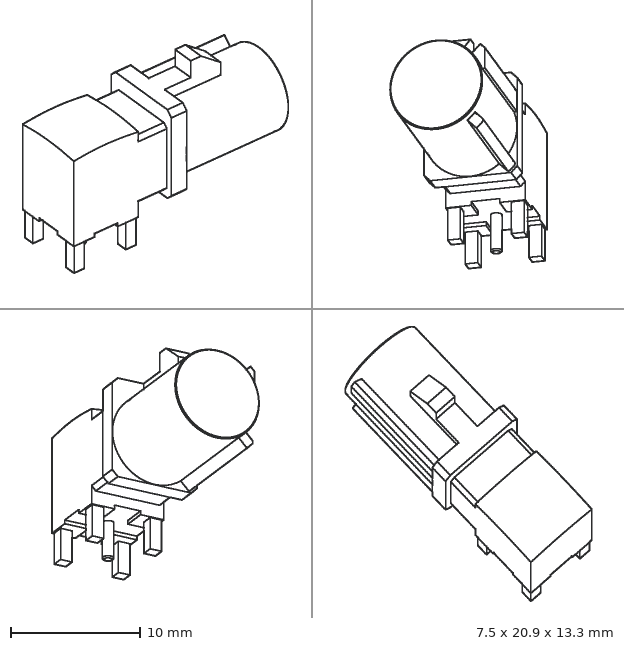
import cadquery as cq
import math


total_length = 20.88
neck_start = 6.39
flange_start = 9.2
barrel_start = 10.73
rib_end = 20.09

block_width = neck_start
block_height = 8.29
crown_slope_deg = 10.0
relief_width = 2.28
relief_depth = 0.31

leg_size = 1.02
leg_length = 2.65
leg_inset = 0.13
pin_diameter = 0.9
pin_length = 2.8
pin_chamfer = 0.13

flange_width = 7.5
flange_height = 8.37
flange_bottom = 0.58
flange_chamfer = 0.5
neck_height = 6.35
neck_chamfer = 0.38
barrel_radius = 3.72
barrel_chamfer = 0.08
axis_z = flange_bottom + flange_width / 2

latch_width = 1.96
latch_top = 10.55
latch_back = 13.32
ramp_top_y = 14.35
latch_front = 16.3
latch_front_z = 9.08

rib_reach = 4.75
upper_rib_bottom = 5.62
lower_rib_width = 0.88
lower_rib_round = 0.23


def block_along_y(width, height, y_start, y_end, z_middle):
    """Box centred on X = 0 that runs from y_start to y_end."""
    length = y_end - y_start
    return cq.Workplane("XY").box(width, length, height).translate((0, y_start + length / 2, z_middle))


def xz_profile(y_start):
    """Sketch plane with local axes X and Z on the barrel axis; extrusions by -length run toward +Y."""
    return cq.Workplane("XZ", origin=(0, y_start, axis_z))


def elbow():
    """Square block with a flat round top, drooping conical corners and a crossed underside relief."""
    middle = block_width / 2
    block = block_along_y(block_width, block_height, 0, block_width, block_height / 2)
    outer_radius = block_width
    rim_z = block_height - (outer_radius - middle) * math.tan(math.radians(crown_slope_deg))
    crown = (
        cq.Workplane("XZ")
        .polyline([(0, 0), (outer_radius, 0), (outer_radius, rim_z), (middle, block_height), (0, block_height)])
        .close()
        .revolve(360, (0, 0), (0, 1))
        .translate((0, middle, 0))
    )
    block = block.intersect(crown)
    for slot_x, slot_y in ((relief_width, block_width), (block_width, relief_width)):
        slot = cq.Workplane("XY", origin=(0, middle, 0)).rect(slot_x, slot_y).extrude(relief_depth)
        block = block.cut(slot)
    return block


def legs():
    """Four square legs below the feet of the elbow block."""
    spacing = block_width - 2 * leg_inset - leg_size
    return (
        cq.Workplane("XY", origin=(0, block_width / 2, 0))
        .rarray(spacing, spacing, 2, 2)
        .rect(leg_size, leg_size)
        .extrude(-leg_length)
    )


def pin():
    """Round contact pin from the relief down, with a chamfered tip."""
    return (
        cq.Workplane("XY", origin=(0, block_width / 2, -pin_length))
        .circle(pin_diameter / 2)
        .extrude(pin_length + relief_depth)
        .faces("<Z")
        .chamfer(pin_chamfer)
    )


def neck():
    bar = block_along_y(block_width, neck_height, neck_start, flange_start, axis_z)
    return bar.edges("|Y").chamfer(neck_chamfer)


def flange():
    flange_middle = flange_bottom + flange_height / 2
    plate = block_along_y(flange_width, flange_height, flange_start, barrel_start, flange_middle)
    return plate.edges("|Y").chamfer(flange_chamfer)


def barrel():
    cylinder = xz_profile(barrel_start).circle(barrel_radius).extrude(barrel_start - total_length)
    return cylinder.faces(">Y").chamfer(barrel_chamfer)


def latch():
    """Strip level with the flange top, ending in a raised catch with a ramp toward the open end."""
    strip_top = flange_bottom + flange_height
    outline = [
        (barrel_start, axis_z),
        (barrel_start, strip_top),
        (latch_back, strip_top),
        (latch_back, latch_top),
        (ramp_top_y, latch_top),
        (latch_front, latch_front_z),
        (latch_front, axis_z),
    ]
    return cq.Workplane("YZ").polyline(outline).close().extrude(latch_width / 2, both=True)


def upper_rib():
    """Rib whose upper side lies on the 45 degree plane through the axis; its outer side is vertical,
    flush with the barrel, and its underside stops on that same plane inside the barrel."""
    tip = rib_reach / math.sqrt(2)
    bottom = upper_rib_bottom - axis_z
    side_top = 2 * tip - barrel_radius
    outline = [(-bottom, bottom), (-tip, tip), (-barrel_radius, side_top), (-barrel_radius, bottom)]
    return xz_profile(barrel_start).polyline(outline).close().extrude(barrel_start - rib_end)


def lower_rib():
    """Radial rib pointing down and out at 45 degrees, with its outward corner rounded."""
    rib = (
        cq.Workplane("XY")
        .box(rib_reach, rib_end - barrel_start, lower_rib_width, centered=(False, False, True))
        .edges("|Y and >X and <Z")
        .fillet(lower_rib_round)
    )
    return rib.rotate((0, 0, 0), (0, 1, 0), -225).translate((0, barrel_start, axis_z))


result = elbow()
for feature in (legs(), pin(), neck(), flange(), barrel(), latch(), upper_rib(), lower_rib()):
    result = result.union(feature)